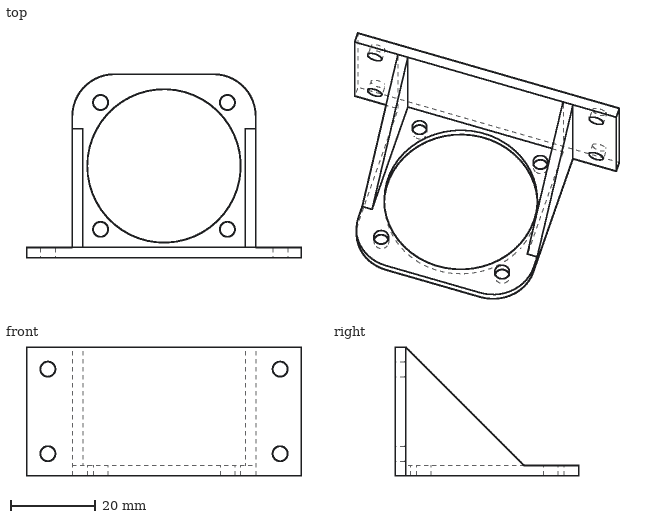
import cadquery as cq

plate_width = 65.0
plate_height = 30.5
flange_size = 43.5
thickness = 2.5
corner_radius = 10.0
bore_diameter = 36.3
screw_diameter = 3.5
flange_hole_pitch = 30.0
wall_hole_pitch_x = 55.0
wall_hole_pitch_z = 20.0

flange_center_y = flange_size / 2


def make_wall_plate():
    """Upright plate in the XZ plane with four screw holes."""
    plate = cq.Workplane("XY").box(plate_width, thickness, plate_height, centered=(True, False, False))
    return (
        plate.faces("<Y").workplane(centerOption="CenterOfBoundBox")
        .rarray(wall_hole_pitch_x, wall_hole_pitch_z, 2, 2)
        .hole(screw_diameter)
    )


def make_flange():
    """Horizontal flange with a large bore, four screw holes and rounded free corners."""
    flange = cq.Workplane("XY").box(flange_size, flange_size, thickness, centered=(True, False, False))
    flange = flange.edges("|Z and >Y").fillet(corner_radius)
    flange = flange.faces(">Z").workplane(origin=(0, flange_center_y, 0)).hole(bore_diameter)
    return (
        flange.faces(">Z").workplane(origin=(0, flange_center_y, 0))
        .rarray(flange_hole_pitch, flange_hole_pitch, 2, 2)
        .hole(screw_diameter)
    )


def make_gusset(start_x):
    """45 degree triangular rib standing on the flange against the wall plate."""
    leg = plate_height - thickness
    corner = (thickness, thickness)
    return (
        cq.Workplane("YZ", origin=(start_x, 0, 0))
        .polyline([corner, (thickness + leg, thickness), (thickness, plate_height)])
        .close()
        .extrude(thickness)
    )


result = make_wall_plate().union(make_flange())
for gusset_x in (-flange_size / 2, flange_size / 2 - thickness):
    result = result.union(make_gusset(gusset_x))